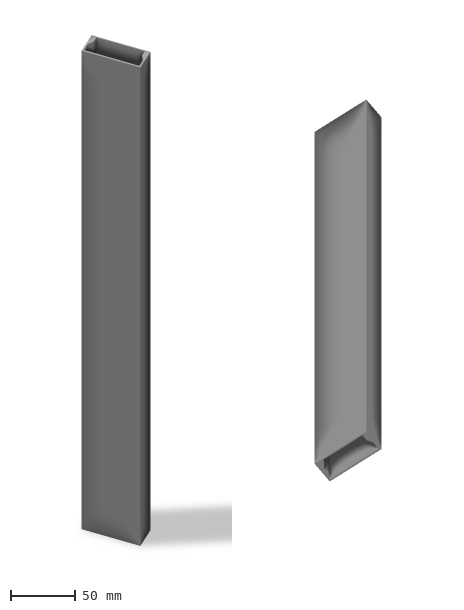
import cadquery as cq

width = 50.0
depth = 20.0
length = 500.0

wall = 1.5
skirt_thickness = 1.5
cover_thickness = 1.0
seam_y = 0.5
shoulder_height = 1.5
lip_thickness = 3.0
head_height = 5.5

half_width = width / 2
front_y = -depth / 2
back_y = depth / 2
cover_inner_y = back_y - cover_thickness
shoulder_y = seam_y - shoulder_height
taper_top_y = cover_inner_y - head_height
skirt_inner_x = half_width - skirt_thickness
lip_inner_x = skirt_inner_x - lip_thickness
wall_inner_x = half_width - wall


def extrude_symmetric(half_outline):
    """Mirror a right-hand open outline about the Y axis and extrude it along Z."""
    left_half = [(-x, y) for x, y in reversed(half_outline)]
    profile = cq.Workplane("XY", origin=(0, 0, -length / 2))
    return profile.polyline(half_outline + left_half).close().extrude(length)


def make_base():
    """U-shaped channel with lips that thicken inward above a sloped face."""
    return extrude_symmetric([
        (half_width, front_y),
        (half_width, seam_y),
        (skirt_inner_x, seam_y),
        (skirt_inner_x, cover_inner_y),
        (lip_inner_x, cover_inner_y),
        (lip_inner_x, taper_top_y),
        (wall_inner_x, shoulder_y),
        (wall_inner_x, front_y + wall),
    ])


def make_cover():
    """Flat lid whose two skirts close over the base lips, flush with the base walls."""
    return extrude_symmetric([
        (half_width, back_y),
        (half_width, seam_y),
        (skirt_inner_x, seam_y),
        (skirt_inner_x, cover_inner_y),
    ])


base = make_base()
cover = make_cover()

result = cq.Compound.makeCompound([base.val(), cover.val()])